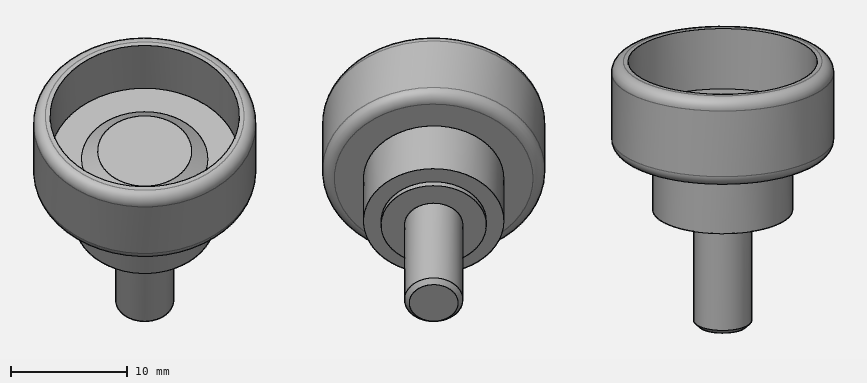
import cadquery as cq

pin_diameter = 5.0
pin_length = 10.0
pin_chamfer = 0.4
collar_diameter = 9.0
collar_projection = 0.5
head_base_diameter = 10.8
head_top_diameter = 8.05
head_height = 1.0

hub_diameter = 12.0
hub_height = 5.5
cup_diameter = 19.0
cup_height = 8.0
cup_rounding = 1.0
cavity_diameter = 16.18
cavity_depth = 5.5

hub_bottom = pin_length + collar_projection
cup_bottom = hub_bottom + hub_height
cup_top = cup_bottom + cup_height
cavity_floor = cup_top - cavity_depth


def cylinder(diameter, bottom, top):
    """Upright cylinder on the Z axis between two heights."""
    return cq.Workplane("XY").workplane(offset=bottom).circle(diameter / 2).extrude(top - bottom)


def make_knob():
    """Rounded cup on a hub, with a central bore for the stud."""
    cup = cylinder(cup_diameter, cup_bottom, cup_top).edges().fillet(cup_rounding)
    hub = cylinder(hub_diameter, hub_bottom, cup_bottom)
    cavity = cylinder(cavity_diameter, cavity_floor, cup_top)
    bore = cylinder(collar_diameter, hub_bottom, cavity_floor)
    return cup.union(hub).cut(cavity).cut(bore)


def make_stud():
    """Chamfered pin, collar filling the bore, and a tapered head resting on the cavity floor."""
    pin = cylinder(pin_diameter, 0, pin_length).faces("<Z").chamfer(pin_chamfer)
    collar = cylinder(collar_diameter, pin_length, cavity_floor)
    head = cq.Workplane(
        cq.Solid.makeCone(
            head_base_diameter / 2,
            head_top_diameter / 2,
            head_height,
            pnt=cq.Vector(0, 0, cavity_floor),
        )
    )
    return pin.union(collar).union(head)


knob = make_knob()
stud = make_stud()
result = cq.Compound.makeCompound([knob.val(), stud.val()])